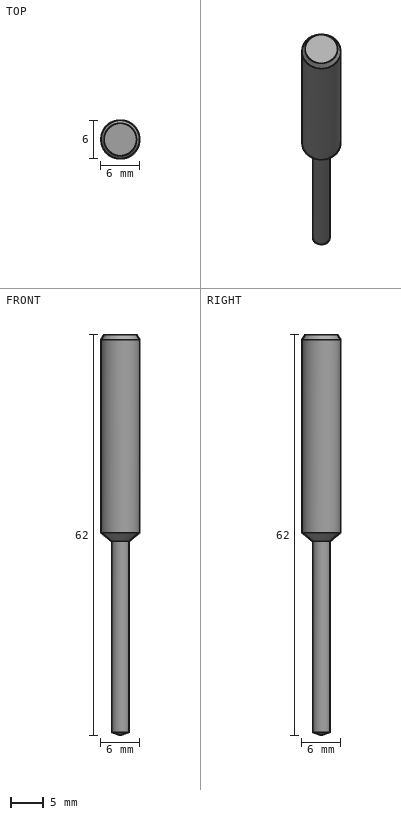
import cadquery as cq
import math

total_length = 62.0

shank_diameter = 6.0
shank_length = 30.6
chamfer_height = 0.8
chamfer_width = 0.5
taper_height = 1.35

cutter_diameter = 2.7
point_angle = 140.0

shank_radius = shank_diameter / 2
cutter_radius = cutter_diameter / 2
point_height = cutter_radius / math.tan(math.radians(point_angle / 2))

top_z = total_length / 2
tip_z = -total_length / 2
shoulder_z = top_z - shank_length
joint_z = shoulder_z - taper_height


def revolve_profile(points):
    """Revolve a closed (radius, height) outline about the Z axis."""
    return cq.Workplane("XZ").polyline(points).close().revolve(360, (0, 0), (0, 1))


def make_shank():
    """Cylinder with a chamfered top and a taper down to the cutter."""
    return revolve_profile([
        (0, joint_z),
        (cutter_radius, joint_z),
        (shank_radius, shoulder_z),
        (shank_radius, top_z - chamfer_height),
        (shank_radius - chamfer_width, top_z),
        (0, top_z),
    ])


def make_cutter():
    """Slender rod with a conical point, its top face against the shank."""
    return revolve_profile([
        (0, tip_z),
        (cutter_radius, tip_z + point_height),
        (cutter_radius, joint_z),
        (0, joint_z),
    ])


shank = make_shank()
cutter = make_cutter()

result = cq.Compound.makeCompound([shank.val(), cutter.val()])